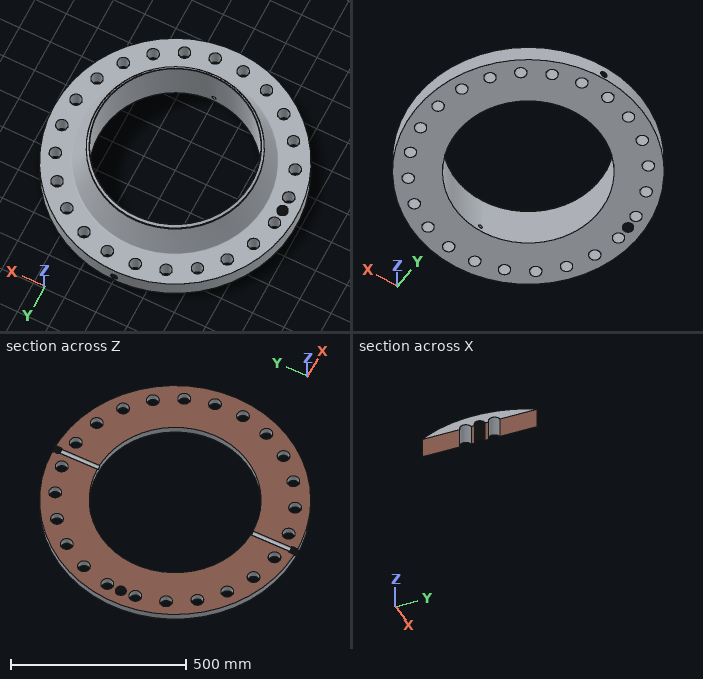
import cadquery as cq
import math

FLANGE_DIAMETER = 774.7
FLANGE_THICKNESS = 63.5
TOTAL_HEIGHT = 162.05
BORE_DIAMETER = 488.95

HUB_BASE_DIAMETER = 587.2
HUB_BASE_FILLET = 4.0
PIPE_DIAMETER = 508.0
PIPE_END_LENGTH = 12.7
WELD_LAND = 1.6
WELD_BEVEL_ANGLE = 37.5

BOLT_COUNT = 24
BOLT_CIRCLE_DIAMETER = 685.8
BOLT_HOLE_DIAMETER = 35.05

JACK_MAJOR_DIAMETER = 31.75
JACK_MINOR_DIAMETER = 27.8
JACK_THREAD_COUNT = 20

TAP_HEIGHT = 23.0
TAP_BORE_DIAMETER = 12.7
TAP_MOUTH_DIAMETER = 21.3
TAP_THREAD_DEPTH = 1.5
TAP_THREAD_LENGTH = 20.0
TAP_THREAD_COUNT = 11
TAP_THREAD_TAPER = 1 / 16


def make_body():
    """Revolve the flange, hub and welding end around Z, with the bore open."""
    bore_radius = BORE_DIAMETER / 2
    pipe_radius = PIPE_DIAMETER / 2
    land_radius = bore_radius + WELD_LAND
    bevel_height = (pipe_radius - land_radius) * math.tan(math.radians(WELD_BEVEL_ANGLE))
    profile = (
        cq.Workplane("XZ")
        .moveTo(bore_radius, 0)
        .lineTo(FLANGE_DIAMETER / 2, 0)
        .lineTo(FLANGE_DIAMETER / 2, FLANGE_THICKNESS)
        .lineTo(HUB_BASE_DIAMETER / 2, FLANGE_THICKNESS)
        .lineTo(pipe_radius, TOTAL_HEIGHT - PIPE_END_LENGTH)
        .lineTo(pipe_radius, TOTAL_HEIGHT - bevel_height)
        .lineTo(land_radius, TOTAL_HEIGHT)
        .lineTo(bore_radius, TOTAL_HEIGHT)
        .close()
    )
    body = profile.revolve(360, (0, 0, 0), (0, 1, 0))
    hub_base_edge = body.edges(cq.selectors.RadiusNthSelector(-2))
    return hub_base_edge.fillet(HUB_BASE_FILLET)


def make_thread_cutter(mouth_diameter, thread_depth, length, thread_count, taper=0.0):
    """Build a hole cutter along +Z from the origin, its thread modelled as V-shaped rings.

    The taper is the reduction in diameter per unit of length.
    """
    pitch = length / thread_count
    mouth_radius = mouth_diameter / 2
    outline = cq.Workplane("XZ").lineTo(mouth_radius, 0)
    for turn in range(thread_count):
        crest_z = (turn + 0.5) * pitch
        root_z = (turn + 1) * pitch
        outline = outline.lineTo(mouth_radius - thread_depth - taper * crest_z / 2, crest_z)
        outline = outline.lineTo(mouth_radius - taper * root_z / 2, root_z)
    return outline.lineTo(0, length).close().revolve(360, (0, 0, 0), (0, 1, 0))


def cut_bolt_holes(body):
    """Drill the bolt holes so that they straddle the X and Y axes."""
    pitch_angle = 360 / BOLT_COUNT
    holes = (
        cq.Workplane("XY")
        .polarArray(BOLT_CIRCLE_DIAMETER / 2, pitch_angle / 2, 360, BOLT_COUNT)
        .circle(BOLT_HOLE_DIAMETER / 2)
        .extrude(FLANGE_THICKNESS)
    )
    return body.cut(holes)


def cut_jack_hole(body):
    """Thread the jack screw hole through the full flange thickness."""
    thread_depth = (JACK_MAJOR_DIAMETER - JACK_MINOR_DIAMETER) / 2
    cutter = make_thread_cutter(
        JACK_MAJOR_DIAMETER, thread_depth, FLANGE_THICKNESS, JACK_THREAD_COUNT
    )
    return body.cut(cutter.translate((-BOLT_CIRCLE_DIAMETER / 2, 0, 0)))


def cut_pressure_taps(body):
    """Drill from the rim into the bore along Y and thread the outer end of each hole."""
    rim_radius = FLANGE_DIAMETER / 2
    drill = cq.Workplane("XY").circle(TAP_BORE_DIAMETER / 2).extrude(rim_radius)
    thread = make_thread_cutter(
        TAP_MOUTH_DIAMETER, TAP_THREAD_DEPTH, TAP_THREAD_LENGTH, TAP_THREAD_COUNT, TAP_THREAD_TAPER
    )
    tap = drill.union(thread)
    for side in (-1, 1):
        inward_tap = tap.rotate((0, 0, 0), (1, 0, 0), side * 90)
        body = body.cut(inward_tap.translate((0, side * rim_radius, TAP_HEIGHT)))
    return body


result = make_body()
result = cut_bolt_holes(result)
result = cut_jack_hole(result)
result = cut_pressure_taps(result)